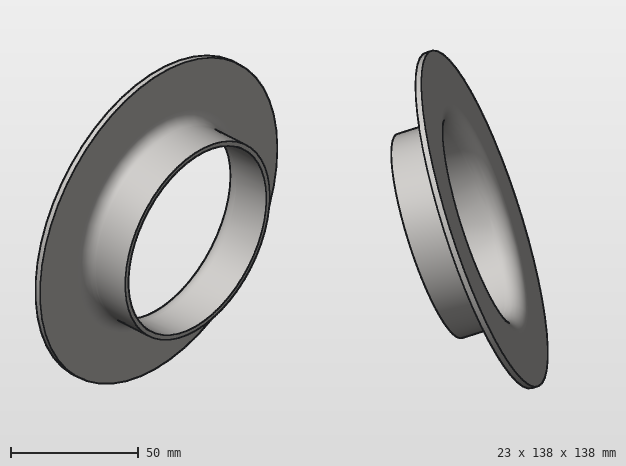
import cadquery as cq

flange_diameter = 138.0
tube_outer_diameter = 84.0
tube_inner_diameter = 80.0
overall_length = 23.0
flange_thickness = 2.5
mouth_radius = 7.0
neck_radius = 5.0

flange_radius = flange_diameter / 2
tube_outer_radius = tube_outer_diameter / 2
tube_inner_radius = tube_inner_diameter / 2


def make_flange():
    """Flat disc with its front face at X = 0."""
    return cq.Workplane("YZ").circle(flange_radius).extrude(flange_thickness)


def make_tube():
    """Straight collar along +X, still solid."""
    return cq.Workplane("YZ").circle(tube_outer_radius).extrude(overall_length)


def make_neck_fillet(body):
    """Blend the back of the flange into the outside of the collar."""
    corner = cq.selectors.RadiusNthSelector(0)
    return body.faces("<X[1]").edges(corner).fillet(neck_radius)


def cut_bore(body):
    """Open the collar right through and round the entry at the flange face."""
    bored = body.cut(cq.Workplane("YZ").circle(tube_inner_radius).extrude(overall_length))
    entry = cq.selectors.RadiusNthSelector(0)
    return bored.faces("<X").edges(entry).fillet(mouth_radius)


blank = make_flange().union(make_tube())
result = cut_bore(make_neck_fillet(blank))